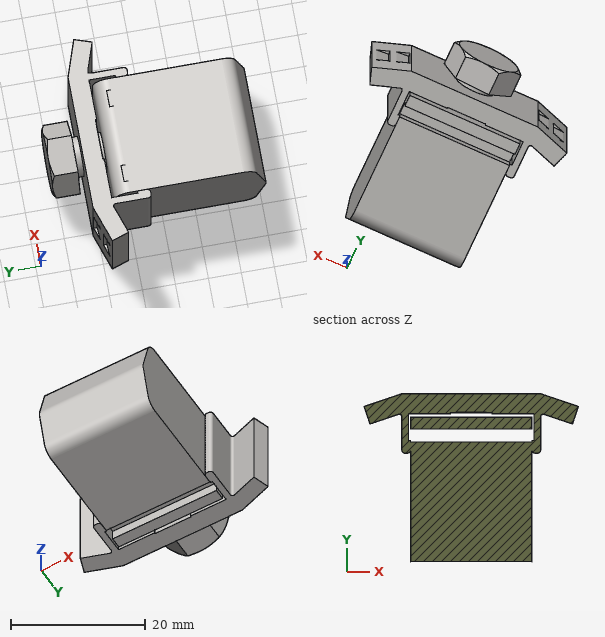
import cadquery as cq
import math


block_width = 18.05
block_height = 14.2
block_back = -3.5
block_tip = -26.5
nose_angle = 15.0
nose_fillet = 2.08
back_fillet = 2.37
tab_width = 2.55
tab_center = 5.95
back_wall = 1.8
tab_depth = 0.65
bottom_slot_width = 1.9

plate_height = 14.08
plate_thickness = 3.0
plate_half_width = 16.0
bend_x = 10.37
wing_angle = 18.6
wing_thickness = 2.8
leg_inner_x = 9.35
leg_end = -8.9
hook_back = -6.98
leg_end_fillet = 0.5
wing_root_fillet = 0.35
recess_width = 6.25
recess_depth = 0.15
bolt_seat_diameter = 11.95
bolt_seat_depth = 0.1

groove_count = 2
groove_start = 10.55
groove_pitch = 2.85
groove_width = 1.92
groove_depth = 0.5
groove_height = 5.3

shank_diameter = 6.08
bolt_gap = 1.02
head_thickness = 4.03
head_across_flats = 9.63
head_turn = 10.5
head_chamfer_angle = 30.0

wing_slope = math.tan(math.radians(wing_angle))


def wing_outer_y(x):
    """Y of the wing's outer face at distance x from the middle."""
    return -(x - bend_x) * wing_slope


def extrude_along_z(profile, height):
    return profile.extrude(height / 2, both=True)


def make_block():
    half_height = block_height / 2
    apex = block_tip - nose_fillet * (1 / math.cos(math.radians(nose_angle)) - 1)
    shoulder = apex + half_height * math.tan(math.radians(nose_angle))
    outline = [
        (block_back, -half_height),
        (block_back, half_height),
        (shoulder, half_height),
        (apex, 0),
        (shoulder, -half_height),
    ]
    block = cq.Workplane("YZ").polyline(outline).close().extrude(block_width / 2, both=True)
    block = block.edges("|X and (not >Y)").fillet(nose_fillet)
    block = block.edges("|X and >Y and >Z").fillet(back_fillet)
    wall_front = block_back - back_wall
    tab_length = wall_front - (block_back - back_fillet)
    for side in (-1, 1):
        tab = cq.Workplane("XY").box(tab_width, tab_length, tab_depth, centered=(True, False, False))
        tab = tab.translate((side * tab_center, wall_front - tab_length, half_height - tab_depth))
        block = block.union(tab)
    slot = cq.Workplane("XY").box(block_width, bottom_slot_width, back_wall)
    slot_center_y = wall_front - bottom_slot_width / 2
    return block.cut(slot.translate((0, slot_center_y, back_wall / 2 - half_height)))


def make_grooves():
    grooves = cq.Workplane("XY")
    for index in range(groove_count):
        wall_x = groove_start + index * groove_pitch
        far_x = wall_x + groove_width
        wall_y = wing_outer_y(wall_x)
        tooth = [(wall_x, wall_y), (wall_x, wall_y - groove_depth), (far_x, wing_outer_y(far_x))]
        cutter = cq.Workplane("XY").polyline(tooth + [(far_x, wall_y)]).close()
        grooves = grooves.add(extrude_along_z(cutter, groove_height))
    return grooves.combine()


def make_half_plate():
    """The +X half of the plate: half the web, one wing and one leg."""
    angle = math.radians(wing_angle)
    outer_tip_y = wing_outer_y(plate_half_width)
    inner_tip_x = plate_half_width - wing_thickness * math.sin(angle)
    inner_tip_y = outer_tip_y - wing_thickness * math.cos(angle)
    root_y = inner_tip_y + (inner_tip_x - bend_x) * wing_slope
    hook_x = block_width / 2
    outline = [
        (0, 0),
        (bend_x, 0),
        (plate_half_width, outer_tip_y),
        (inner_tip_x, inner_tip_y),
        (bend_x, root_y),
        (bend_x, leg_end),
        (hook_x, leg_end),
        (hook_x, hook_back),
        (leg_inner_x, hook_back),
        (leg_inner_x, -plate_thickness),
        (0, -plate_thickness),
    ]
    half = extrude_along_z(cq.Workplane("XY").polyline(outline).close(), plate_height)
    half = half.edges("|Z and <Y").fillet(leg_end_fillet)
    half = half.edges(cq.selectors.NearestToPointSelector((bend_x, root_y, 0))).fillet(wing_root_fillet)
    return half.cut(make_grooves())


def make_plate():
    half = make_half_plate()
    plate = half.union(half.mirror("YZ"))
    recess = cq.Workplane("XY").box(recess_width, recess_depth, plate_height)
    plate = plate.cut(recess.translate((0, recess_depth / 2 - plate_thickness, 0)))
    recess_floor = recess_depth - plate_thickness
    seat = cq.Workplane("XZ", origin=(0, recess_floor, 0)).circle(bolt_seat_diameter / 2)
    seat = seat.extrude(-bolt_seat_depth)
    seat_limit = cq.Workplane("XY").box(recess_width, plate_thickness, plate_height)
    return plate.cut(seat.intersect(seat_limit.translate((0, recess_floor, 0))))


def make_bolt():
    head_top = bolt_gap + head_thickness
    head_plane = cq.Workplane("XZ", origin=(0, head_top, 0))
    corner_radius = head_across_flats / math.sqrt(3)
    head = head_plane.transformed(rotate=(0, 0, head_turn)).polygon(6, 2 * corner_radius)
    head = head.extrude(head_thickness)
    flat_radius = head_across_flats / 2
    cone_slope = math.tan(math.radians(head_chamfer_angle))
    cone_radius = flat_radius + head_thickness / cone_slope
    bevel = (
        cq.Workplane("XY")
        .polyline([(0, head_top), (flat_radius, head_top), (cone_radius, bolt_gap), (0, bolt_gap)])
        .close()
        .revolve(360, (0, 0, 0), (0, 1, 0))
    )
    shank_length = bolt_gap - block_back
    shank = cq.Workplane("XZ", origin=(0, bolt_gap, 0)).circle(shank_diameter / 2).extrude(shank_length)
    return head.intersect(bevel).union(shank)


result = make_plate().union(make_bolt()).union(make_block())